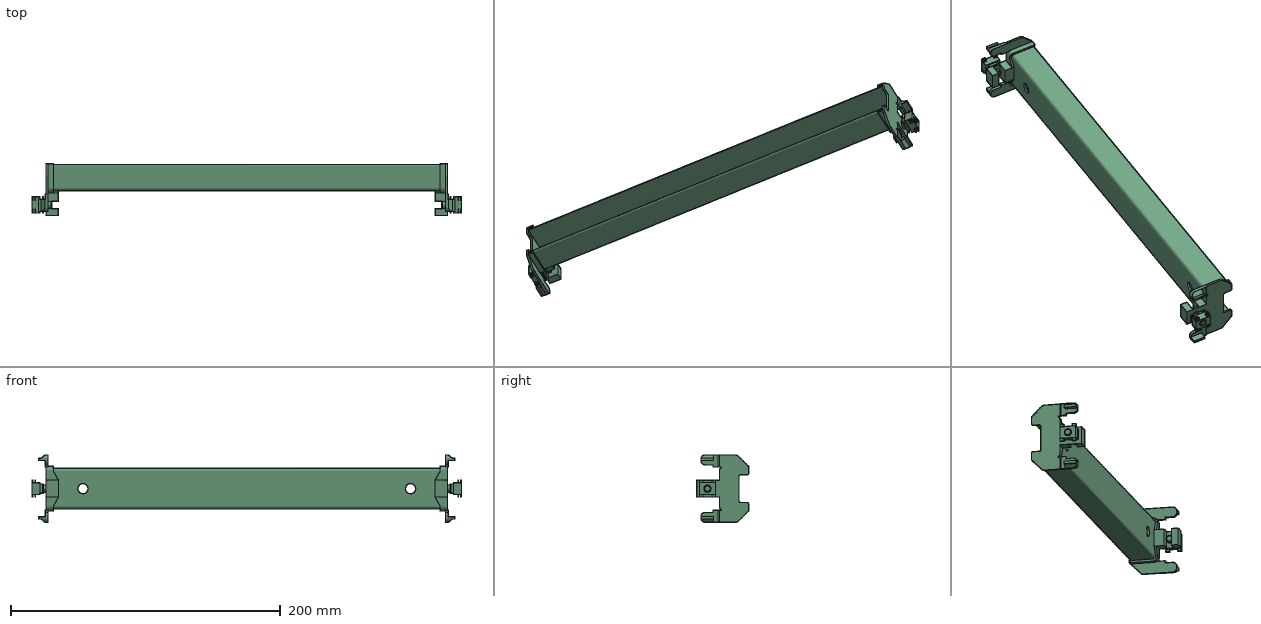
import cadquery as cq

LENGTH = 319.0
DEPTH = 38.5
HEIGHT = 50.0

TIP_X = LENGTH / 2
BACK_Y = DEPTH / 2
FRONT_Y = -DEPTH / 2
TOP_Z = HEIGHT / 2

RAIL_BACK_Y = 18.8
RAIL_FRONT_Y = -1.0
RAIL_HEIGHT = 30.3
RAIL_WALL = 1.5
RAIL_FRONT_RADIUS = 2.2
RAIL_BACK_RADIUS = 1.3
RAIL_HOLE_X = 121.5
RAIL_HOLE_DIAMETER = 7.3

SLEEVE_INNER_X = 143.5
SLEEVE_HEIGHT = 33.5
SLEEVE_RADIUS = 3.8

PLATE_OUTER_X = 149.0
PLATE_INNER_X = 147.5
PLATE_FRONT_Y = -2.5
BACK_NOTCH_Y = 12.0
BACK_NOTCH_HALF = 10.2
HORN_CHAMFER = 8.5
NOTCH_RADIUS = 1.3
SHOULDER_RADIUS = 3.2
PLATE_BODY_FRONT_Y = PLATE_FRONT_Y + SLEEVE_RADIUS

PRONG_OUTER_X = 149.5
PRONG_TIP_Y = -16.3
PRONG_ROOT_Z = 16.0
PRONG_STEP_Y = -7.3
PRONG_STEP_Z = 17.5
PRONG_TIP_RADIUS = 3.2
RAMP_LENGTH = 1.0

HOOK_BACK_Y = -7.0
HOOK_TIP_X = 154.5
HOOK_NECK_X = 152.5
HOOK_TOP_Z = 22.5
HOOK_BOTTOM_Z = 20.7

BLOCK_INNER_X = 139.7
LIP_HALF_ROOT = 13.0
TONGUE_HALF = 6.5
UPPER_BLOCK_FRONT_Y = -8.5
LOWER_BLOCK_BACK_Y = -14.0

PIN_Y = (UPPER_BLOCK_FRONT_Y + LOWER_BLOCK_BACK_Y) / 2
PIN_RADIUS = (UPPER_BLOCK_FRONT_Y - LOWER_BLOCK_BACK_Y) / 2
PIN_CHAMFER = 0.5
PIN_INNER_X = 144.5
HEAD_INNER_X = 153.5
HEAD_HALF_WIDTH = 6.0
HEAD_HALF_HEIGHT = 4.5
NECK_HALF = 3.5
COLLAR_OUTER_X = 151.5
COLLAR_INNER_X = 151.0
FIN_OUTER_FACES = (159.2, 157.3)
FIN_THICKNESS = 0.48
FIN_LEG_WIDTH = 3.0


def box(x_range, y_range, z_range):
    """Axis-aligned box from its low and high limits."""
    low = cq.Vector(x_range[0], y_range[0], z_range[0])
    high = cq.Vector(x_range[1], y_range[1], z_range[1])
    size = high - low
    return cq.Workplane("XY").box(size.x, size.y, size.z, centered=False).translate(low)


def both_heights(feature):
    """The feature together with its mirror image below the middle plane."""
    return feature.union(feature.mirror("XY"))


def rail_envelope(back_y):
    """Outer block of the rail with its front edges rounded, reaching back to back_y."""
    half_height = RAIL_HEIGHT / 2
    block = box((-PLATE_INNER_X, PLATE_INNER_X), (RAIL_FRONT_Y, back_y), (-half_height, half_height))
    return block.edges("|X and <Y").fillet(RAIL_FRONT_RADIUS)


def make_rail():
    inner_half = RAIL_HEIGHT / 2 - RAIL_WALL
    channel = box((-TIP_X, TIP_X), (RAIL_FRONT_Y + RAIL_WALL, BACK_Y), (-inner_half, inner_half))
    holes = (
        cq.Workplane("XZ", origin=(0, BACK_Y, 0))
        .pushPoints([(-RAIL_HOLE_X, 0), (RAIL_HOLE_X, 0)])
        .circle(RAIL_HOLE_DIAMETER / 2)
        .extrude(DEPTH)
    )
    bar = rail_envelope(RAIL_BACK_Y).edges("|X and >Y").fillet(RAIL_BACK_RADIUS)
    return bar.cut(channel).cut(holes)


def bracket_plate():
    """Flat plate with a notch in the back and two horns."""
    horn_z = TOP_Z - HORN_CHAMFER
    shoulder_y = BACK_Y - HORN_CHAMFER
    upper_half = [
        (PLATE_BODY_FRONT_Y, PRONG_ROOT_Z),
        (PLATE_FRONT_Y, PRONG_ROOT_Z),
        (PLATE_FRONT_Y, TOP_Z),
        (shoulder_y, TOP_Z),
        (BACK_Y, horn_z),
        (BACK_Y, BACK_NOTCH_HALF),
        (BACK_NOTCH_Y, BACK_NOTCH_HALF),
    ]
    lower_half = [(y, -z) for y, z in reversed(upper_half)]
    plate = (
        cq.Workplane("YZ", origin=(PLATE_INNER_X, 0, 0))
        .polyline(upper_half + lower_half)
        .close()
        .extrude(PLATE_OUTER_X - PLATE_INNER_X)
    )
    for y, z, radius in (
        (shoulder_y, TOP_Z, SHOULDER_RADIUS),
        (BACK_Y, BACK_NOTCH_HALF, NOTCH_RADIUS),
        (BACK_NOTCH_Y, BACK_NOTCH_HALF, NOTCH_RADIUS),
    ):
        for corner_z in (z, -z):
            corner = cq.selectors.NearestToPointSelector((PLATE_OUTER_X, y, corner_z))
            plate = plate.edges("|X").edges(corner).fillet(radius)
    return plate


def prong():
    """Upper prong: a finger stepped outward from the plate by a short ramp."""
    finger = (
        cq.Workplane("XY", origin=(0, 0, PRONG_ROOT_Z))
        .polyline(
            [
                (PLATE_INNER_X, PLATE_FRONT_Y),
                (PLATE_OUTER_X, PLATE_FRONT_Y),
                (PRONG_OUTER_X, PLATE_FRONT_Y - RAMP_LENGTH),
                (PRONG_OUTER_X, PRONG_TIP_Y),
                (PLATE_INNER_X, PRONG_TIP_Y),
            ]
        )
        .close()
        .extrude(TOP_Z - PRONG_ROOT_Z)
    )
    relief = box((0, TIP_X), (FRONT_Y, PRONG_STEP_Y), (0, PRONG_STEP_Z))
    return finger.cut(relief).edges("|X and <Y").fillet(PRONG_TIP_RADIUS)


def hook():
    """Outward hook on the upper prong: a sloped root and a small square nose."""
    return (
        cq.Workplane("XZ", origin=(0, HOOK_BACK_Y, 0))
        .polyline(
            [
                (PLATE_OUTER_X, HOOK_BOTTOM_Z),
                (HOOK_TIP_X, HOOK_BOTTOM_Z),
                (HOOK_TIP_X, HOOK_TOP_Z),
                (HOOK_NECK_X, HOOK_TOP_Z),
                (PRONG_OUTER_X, TOP_Z),
                (PLATE_OUTER_X, TOP_Z),
            ]
        )
        .close()
        .extrude(HOOK_BACK_Y - PRONG_TIP_Y)
        .edges("|X and <Y and >Z")
        .fillet(PRONG_TIP_RADIUS)
    )


def sleeve():
    """Block around the rail end; the rail pocket is cut later."""
    block = box(
        (SLEEVE_INNER_X, PLATE_OUTER_X),
        (PLATE_FRONT_Y, BACK_Y),
        (-SLEEVE_HEIGHT / 2, SLEEVE_HEIGHT / 2),
    )
    end_wall = box((PLATE_INNER_X, TIP_X), (BACK_NOTCH_Y - NOTCH_RADIUS, BACK_Y), (-TOP_Z, TOP_Z))
    return block.edges("|X and <Y").fillet(SLEEVE_RADIUS).cut(end_wall)


def clamp():
    """Tapered lip under the rail, the tongue and its two clamp blocks."""
    lip = (
        cq.Workplane("XZ", origin=(0, RAIL_FRONT_Y, 0))
        .polyline(
            [
                (SLEEVE_INNER_X, -LIP_HALF_ROOT),
                (BLOCK_INNER_X, -TONGUE_HALF),
                (BLOCK_INNER_X, TONGUE_HALF),
                (SLEEVE_INNER_X, LIP_HALF_ROOT),
            ]
        )
        .close()
        .extrude(RAIL_FRONT_Y - PLATE_FRONT_Y)
    )
    width = (-TONGUE_HALF, TONGUE_HALF)
    tongue = box((PLATE_INNER_X, PLATE_OUTER_X), (FRONT_Y, PLATE_FRONT_Y), width)
    upper_block = box((BLOCK_INNER_X, PLATE_INNER_X), (UPPER_BLOCK_FRONT_Y, PLATE_FRONT_Y), width)
    lower_block = box((BLOCK_INNER_X, PLATE_INNER_X), (FRONT_Y, LOWER_BLOCK_BACK_Y), width)
    return lip.union(tongue).union(upper_block).union(lower_block)


def make_pin():
    return (
        cq.Workplane("YZ", origin=(PIN_INNER_X, PIN_Y, 0))
        .circle(PIN_RADIUS)
        .extrude(TIP_X - PIN_INNER_X)
        .edges()
        .chamfer(PIN_CHAMFER)
    )


def make_bracket(pin):
    bracket = (
        bracket_plate()
        .union(both_heights(prong()))
        .union(both_heights(hook()))
        .union(sleeve())
        .union(clamp())
    )
    return bracket.cut(rail_envelope(BACK_Y)).cut(pin)


def head_fin(outer_x):
    """Thin plate with four legs that stand above and below the head."""
    x_range = (outer_x - FIN_THICKNESS, outer_x)
    sides = (PIN_Y - HEAD_HALF_WIDTH, PIN_Y + HEAD_HALF_WIDTH)
    fin = box(x_range, sides, (-TONGUE_HALF, TONGUE_HALF))
    gap_half = HEAD_HALF_WIDTH - FIN_LEG_WIDTH
    gap = box(x_range, (PIN_Y - gap_half, PIN_Y + gap_half), (HEAD_HALF_HEIGHT, TONGUE_HALF))
    return fin.cut(both_heights(gap))


def make_head(pin):
    sides = (PIN_Y - HEAD_HALF_WIDTH, PIN_Y + HEAD_HALF_WIDTH)
    head = box((HEAD_INNER_X, TIP_X), sides, (-HEAD_HALF_HEIGHT, HEAD_HALF_HEIGHT))
    neck = box(
        (COLLAR_OUTER_X, HEAD_INNER_X), (PIN_Y - NECK_HALF, PIN_Y + NECK_HALF), (-NECK_HALF, NECK_HALF)
    )
    collar = box((COLLAR_INNER_X, COLLAR_OUTER_X), sides, (-NECK_HALF, NECK_HALF))
    head = head.union(neck).union(collar)
    for outer_x in FIN_OUTER_FACES:
        head = head.union(head_fin(outer_x))
    return head.cut(pin)


rail = make_rail()
right_pin = make_pin()
right_end = [make_bracket(right_pin), right_pin, make_head(right_pin)]

bodies = [rail.val()]
for body in right_end:
    bodies.append(body.val())
    bodies.append(body.mirror("YZ").val())

result = cq.Compound.makeCompound(bodies)